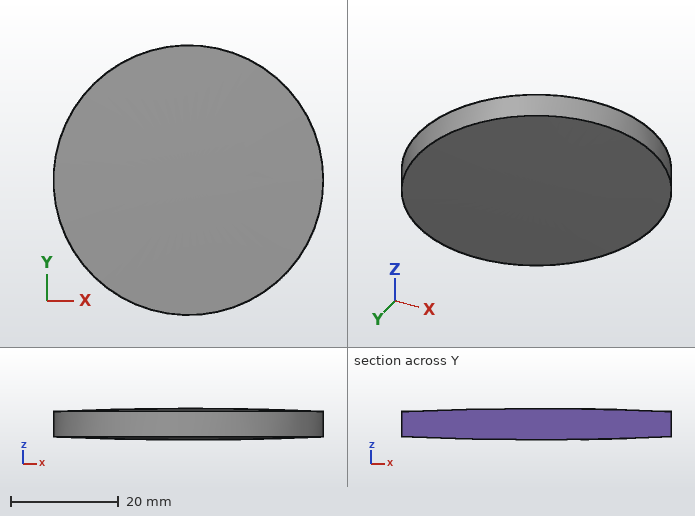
import cadquery as cq

diameter = 50.0
centre_thickness = 5.85
edge_thickness = 4.7

radius = diameter / 2
half_centre = centre_thickness / 2
half_edge = edge_thickness / 2
dome_height = half_centre - half_edge
sphere_radius = (radius**2 + dome_height**2) / (2 * dome_height)

sphere_offset = sphere_radius - half_centre
arc_mid_x = radius / 2
arc_mid_z = (sphere_radius**2 - arc_mid_x**2) ** 0.5 - sphere_offset

half_section = (
    cq.Workplane("XZ")
    .moveTo(0, -half_centre)
    .threePointArc((arc_mid_x, -arc_mid_z), (radius, -half_edge))
    .lineTo(radius, half_edge)
    .threePointArc((arc_mid_x, arc_mid_z), (0, half_centre))
    .close()
)

result = half_section.revolve(360, (0, 0, 0), (0, 1, 0))